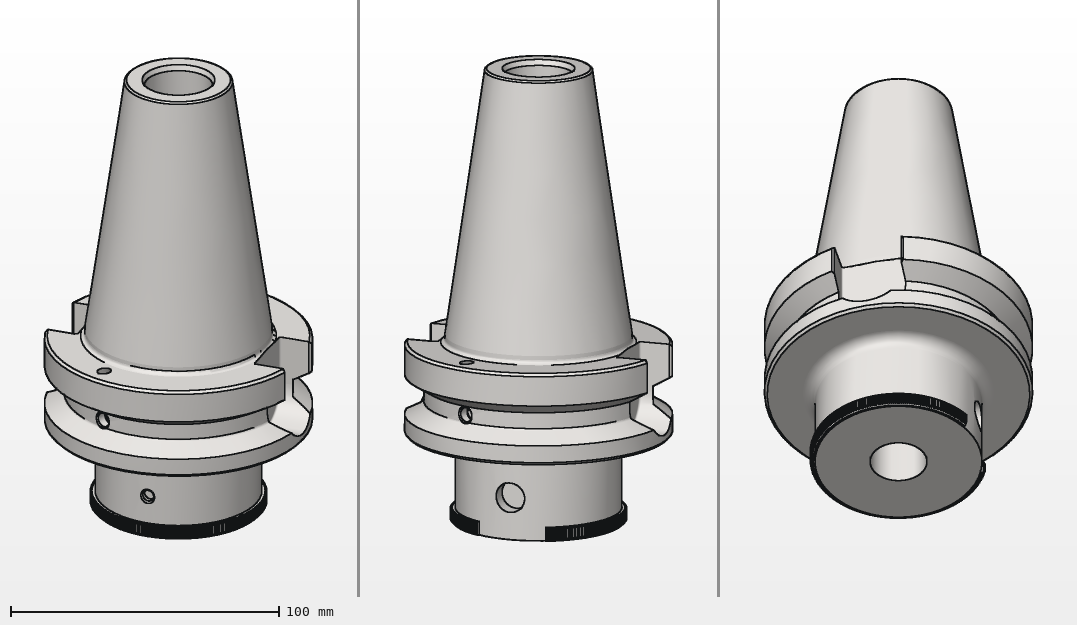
import cadquery as cq
import math

TOTAL_HEIGHT = 173.8

SHANK_RADIUS = 31.1
SHANK_FILLET = 4.5

FLANGE_DIAMETER = 100.0
FLANGE_RADIUS = FLANGE_DIAMETER / 2
FLANGE_BOTTOM = 33.7
FLANGE_TOP = 68.8
FLANGE_CHAMFER = 1.0
GROOVE_ROOT_RADIUS = 42.8
GROOVE_BOTTOM = 41.2
GROOVE_ROOT_BOTTOM = 45.5
GROOVE_ROOT_TOP = 52.1
GROOVE_ROOT_FILLET = 0.9
GROOVE_TOP = 56.5

TAPER_RADIUS = 35.0
TAPER_START = 72.0
TAPER_HALF_RATIO = 7 / 48
TAPER_TOP_CHAMFER = 0.7
NECK_FILLET = 1.5
TAPER_TOP_RADIUS = TAPER_RADIUS - (TOTAL_HEIGHT - TAPER_START) * TAPER_HALF_RATIO

BORE_RADIUS = 10.6
COUNTERBORE_RADIUS = 12.7
COUNTERBORE_WALL_DEPTH = 13.0
COUNTERBORE_FLOOR_SLOPE = 30.0
MOUTH_RADIUS = 13.5
MOUTH_DEPTH = 2.0

SLOT_WIDTH = 25.7
SLOT_FLOOR_X = 35.5
SLOT_ARC_CENTER_Z = 50.0
SLOT_FLOOR_FILLET = 0.9
SLOT_EDGE_CHAMFER = 0.9

COOLANT_ANGLE = -109.7
COOLANT_INLET_RADIUS = 41.9
COOLANT_INLET_DIAMETER = 4.7
COOLANT_TILT = 35.0
CROSS_HOLE_DIAMETER = 5.4
CROSS_HOLE_DEPTH = 4.3
CROSS_HOLE_CHAMFER = 0.6
CROSS_HOLE_Z = (GROOVE_ROOT_BOTTOM + GROOVE_ROOT_TOP) / 2

SIDE_HOLE_Z = 16.2
SCREW_HOLE_DIAMETER = 4.3
SCREW_HOLE_DEPTH = 2.6
SCREW_HOLE_CHAMFER = 0.7
CLAMP_HOLE_DIAMETER = 11.3
CLAMP_HOLE_DEPTH = 7.0

RING_DIAMETER = 65.9
RING_RADIUS = RING_DIAMETER / 2
RING_HEIGHT = 5.2
RING_BOTTOM_CHAMFER = 1.2
RING_TOP_CHAMFER = 0.5
RING_GAP_HALF_ANGLE = 25.0
KNURL_COUNT = 240
KNURL_DEPTH = 0.7


def polar(radius, degrees):
    """Point in the XY plane at the given radius and angle from +X."""
    angle = math.radians(degrees)
    return (radius * math.cos(angle), radius * math.sin(angle))


def turned_body():
    """Shank, flange and taper as one revolved outline."""
    diagonal = 1 - math.sqrt(0.5)
    outline = (
        cq.Workplane("XZ")
        .lineTo(SHANK_RADIUS, 0)
        .lineTo(SHANK_RADIUS, FLANGE_BOTTOM - SHANK_FILLET)
        .threePointArc(
            (SHANK_RADIUS + SHANK_FILLET * diagonal, FLANGE_BOTTOM - SHANK_FILLET * diagonal),
            (SHANK_RADIUS + SHANK_FILLET, FLANGE_BOTTOM),
        )
        .lineTo(FLANGE_RADIUS - FLANGE_CHAMFER, FLANGE_BOTTOM)
        .lineTo(FLANGE_RADIUS, FLANGE_BOTTOM + FLANGE_CHAMFER)
        .lineTo(FLANGE_RADIUS, GROOVE_BOTTOM)
        .lineTo(GROOVE_ROOT_RADIUS, GROOVE_ROOT_BOTTOM)
        .lineTo(GROOVE_ROOT_RADIUS, GROOVE_ROOT_TOP)
        .lineTo(FLANGE_RADIUS, GROOVE_TOP)
        .lineTo(FLANGE_RADIUS, FLANGE_TOP - FLANGE_CHAMFER)
        .lineTo(FLANGE_RADIUS - FLANGE_CHAMFER, FLANGE_TOP)
        .lineTo(TAPER_RADIUS + NECK_FILLET, FLANGE_TOP)
        .threePointArc(
            (TAPER_RADIUS + NECK_FILLET * diagonal, FLANGE_TOP + NECK_FILLET * diagonal),
            (TAPER_RADIUS, FLANGE_TOP + NECK_FILLET),
        )
        .lineTo(TAPER_RADIUS, TAPER_START)
        .lineTo(TAPER_TOP_RADIUS, TOTAL_HEIGHT)
        .lineTo(0, TOTAL_HEIGHT)
        .close()
    )
    body = outline.revolve(360, (0, 0, 0), (0, 1, 0))
    root_corner = cq.selectors.BoxSelector(
        (-FLANGE_RADIUS, -FLANGE_RADIUS, GROOVE_ROOT_BOTTOM - GROOVE_ROOT_FILLET),
        (FLANGE_RADIUS, FLANGE_RADIUS, GROOVE_ROOT_BOTTOM + GROOVE_ROOT_FILLET),
        boundingbox=True,
    )
    body = body.edges(root_corner).fillet(GROOVE_ROOT_FILLET)
    return body.faces(">Z").edges().chamfer(TAPER_TOP_CHAMFER)


def central_bore():
    """Through bore and its counterbore, which has a conical mouth and a conical floor."""
    wall_end_z = TOTAL_HEIGHT - COUNTERBORE_WALL_DEPTH
    floor_drop = (COUNTERBORE_RADIUS - BORE_RADIUS) * math.tan(math.radians(COUNTERBORE_FLOOR_SLOPE))
    outline = (
        cq.Workplane("XZ")
        .lineTo(BORE_RADIUS, 0)
        .lineTo(BORE_RADIUS, wall_end_z - floor_drop)
        .lineTo(COUNTERBORE_RADIUS, wall_end_z)
        .lineTo(COUNTERBORE_RADIUS, TOTAL_HEIGHT - MOUTH_DEPTH)
        .lineTo(MOUTH_RADIUS, TOTAL_HEIGHT)
        .lineTo(0, TOTAL_HEIGHT)
        .close()
    )
    return outline.revolve(360, (0, 0, 0), (0, 1, 0))


def key_slot():
    """Cutter for the +X driving-key slot, with a round lower end."""
    half_width = SLOT_WIDTH / 2
    slot = (
        cq.Workplane("YZ")
        .workplane(offset=SLOT_FLOOR_X)
        .moveTo(-half_width, FLANGE_TOP + NECK_FILLET)
        .lineTo(-half_width, SLOT_ARC_CENTER_Z)
        .threePointArc((0, SLOT_ARC_CENTER_Z - half_width), (half_width, SLOT_ARC_CENTER_Z))
        .lineTo(half_width, FLANGE_TOP + NECK_FILLET)
        .close()
        .extrude(FLANGE_RADIUS - SLOT_FLOOR_X)
    )
    slot = slot.faces("<X").edges("not >Z").fillet(SLOT_FLOOR_FILLET)

    edge_y = half_width + SLOT_EDGE_CHAMFER
    edge_x = math.sqrt(FLANGE_RADIUS**2 - edge_y**2)
    flare_start_x = edge_x - SLOT_EDGE_CHAMFER
    flare_length = FLANGE_RADIUS - flare_start_x
    flare = (
        cq.Workplane("XY")
        .workplane(offset=GROOVE_ROOT_TOP)
        .polyline(
            [
                (flare_start_x, -half_width),
                (FLANGE_RADIUS, -half_width - flare_length),
                (FLANGE_RADIUS, half_width + flare_length),
                (flare_start_x, half_width),
            ]
        )
        .close()
        .extrude(FLANGE_TOP - GROOVE_ROOT_TOP)
    )
    return slot.union(flare)


def cylinder(start, direction, diameter, length):
    """Solid cylinder from a start point along a direction."""
    solid = cq.Solid.makeCylinder(diameter / 2, length, cq.Vector(*start), cq.Vector(*direction))
    return cq.Workplane("XY").newObject([solid])


def chamfered_hole(start, direction, diameter, depth, chamfer):
    """Blind-hole cutter with a 45 degree chamfer at its mouth."""
    radius = diameter / 2
    mouth = cq.Solid.makeCone(radius + chamfer, radius, chamfer, cq.Vector(*start), cq.Vector(*direction))
    return cylinder(start, direction, diameter, depth).union(cq.Workplane("XY").newObject([mouth]))


def coolant_channel(degrees):
    """Hole sloping inward from the flange top to a radial hole drilled from the groove."""
    tilt = math.radians(COOLANT_TILT)
    drop = FLANGE_TOP - CROSS_HOLE_Z
    meeting_radius = COOLANT_INLET_RADIUS - drop * math.tan(tilt)
    inward = polar(-1, degrees)
    slope = (inward[0] * math.sin(tilt), inward[1] * math.sin(tilt), -math.cos(tilt))

    above = COOLANT_INLET_DIAMETER
    inlet = polar(COOLANT_INLET_RADIUS + above * math.tan(tilt), degrees)
    sloping = cylinder(
        (*inlet, FLANGE_TOP + above), slope, COOLANT_INLET_DIAMETER, (drop + above) / math.cos(tilt)
    )
    mouth = polar(GROOVE_ROOT_RADIUS, degrees)
    cross_length = GROOVE_ROOT_RADIUS - meeting_radius + COOLANT_INLET_DIAMETER
    pilot = cylinder((*mouth, CROSS_HOLE_Z), (*inward, 0), COOLANT_INLET_DIAMETER, cross_length)
    cross = chamfered_hole(
        (*mouth, CROSS_HOLE_Z), (*inward, 0), CROSS_HOLE_DIAMETER, CROSS_HOLE_DEPTH, CROSS_HOLE_CHAMFER
    )
    return sloping.union(pilot).union(cross)


def screw_hole():
    """Small chamfered blind hole on the -Y side of the shank."""
    start = (0, -SHANK_RADIUS, SIDE_HOLE_Z)
    return chamfered_hole(start, (0, 1, 0), SCREW_HOLE_DIAMETER, SCREW_HOLE_DEPTH, SCREW_HOLE_CHAMFER)


def clamp_hole():
    """Large blind hole on the +Y side of the shank."""
    return cylinder((0, SHANK_RADIUS, SIDE_HOLE_Z), (0, -1, 0), CLAMP_HOLE_DIAMETER, CLAMP_HOLE_DEPTH)


def make_holder():
    body = turned_body().cut(central_bore())
    slot = key_slot()
    for turn in (0, 180):
        body = body.cut(slot.rotate((0, 0, 0), (0, 0, 1), turn))
        body = body.cut(coolant_channel(COOLANT_ANGLE + turn))
    return body.cut(screw_hole()).cut(clamp_hole())


def make_ring():
    """C-shaped ring with straight knurling, hugging the foot of the shank."""
    arc_degrees = 360 - 2 * RING_GAP_HALF_ANGLE
    first_angle = 90 + RING_GAP_HALF_ANGLE
    step = arc_degrees / KNURL_COUNT
    teeth = []
    for tooth in range(KNURL_COUNT):
        angle = first_angle + tooth * step
        teeth.append(polar(RING_RADIUS - KNURL_DEPTH, angle))
        teeth.append(polar(RING_RADIUS, angle + step / 2))
    last_angle = first_angle + arc_degrees
    teeth.append(polar(RING_RADIUS - KNURL_DEPTH, last_angle))

    knurled = (
        cq.Workplane("XY")
        .polyline(teeth)
        .lineTo(*polar(SHANK_RADIUS, last_angle))
        .threePointArc((0, -SHANK_RADIUS), polar(SHANK_RADIUS, first_angle))
        .close()
        .extrude(RING_HEIGHT)
    )
    blank = cq.Workplane("XY").circle(RING_RADIUS).extrude(RING_HEIGHT)
    blank = blank.faces("<Z").edges().chamfer(RING_BOTTOM_CHAMFER)
    blank = blank.faces(">Z").edges().chamfer(RING_TOP_CHAMFER)
    return knurled.intersect(blank)


holder = make_holder()
ring = make_ring()
result = cq.Compound.makeCompound([holder.val(), ring.val()])